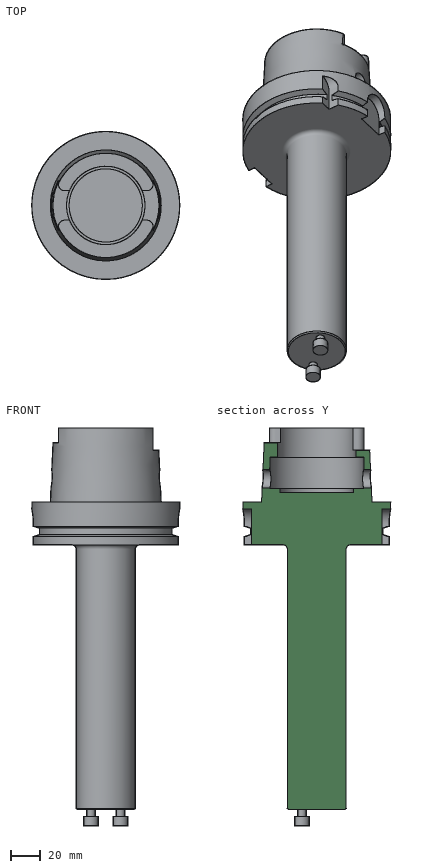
import cadquery as cq
import math

HALF_DIAGONAL = math.sqrt(0.5)


shank_height = 50.0
shank_base_radius = 37.5
shank_top_radius = 35.2

mouth_radius = 53.0 / 2
mouth_depth = 20.0
cavity_radius = 63.2 / 2
cavity_floor_z = 9.1
pilot_radius = 24.7
pilot_depth = 2.7

drive_slot_width = 20.0
drive_slot_shallow = 10.0
drive_slot_deep = 15.0
drive_slot_corner = 4.3
drive_lug_reach = 32.0

cross_hole_diameter = 12.0
cross_hole_z = 15.5

flange_radius = 100.0 / 2
flange_height = 29.0
groove_radius = 46.0
groove_center_z = -20.0
groove_floor_width = 4.3
groove_mouth_width = 7.0

key_slot_width = 20.2
rim_slot_top_z = -4.8
key_slot_floor = 44.0
notch_radius = 8.0
notch_center_y = 39.0
notch_floor = 31.7

bar_radius = 40.0 / 2
bar_neck_fillet = 3.0
bar_end_chamfer = 0.8

screw_offset = 10.0
screw_neck_diameter = 6.0
screw_neck_length = 4.5
screw_head_diameter = 10.0
screw_head_height = 6.5

total_length = 269
bar_end_z = shank_height - total_length + screw_neck_length + screw_head_height


def make_body():
    """Revolve the shank, grooved flange and bar as one profile."""
    mouth_half = groove_mouth_width / 2
    floor_half = groove_floor_width / 2
    fillet_z = -flange_height - bar_neck_fillet
    fillet_radius = bar_radius + bar_neck_fillet
    fillet_inset = bar_neck_fillet * (1 - HALF_DIAGONAL)
    return (
        cq.Workplane("XZ")
        .moveTo(0, shank_height)
        .lineTo(shank_top_radius, shank_height)
        .lineTo(shank_base_radius, 0)
        .lineTo(flange_radius, 0)
        .lineTo(flange_radius, groove_center_z + mouth_half)
        .lineTo(groove_radius, groove_center_z + floor_half)
        .lineTo(groove_radius, groove_center_z - floor_half)
        .lineTo(flange_radius, groove_center_z - mouth_half)
        .lineTo(flange_radius, -flange_height)
        .lineTo(fillet_radius, -flange_height)
        .threePointArc(
            (bar_radius + fillet_inset, -flange_height - fillet_inset),
            (bar_radius, fillet_z),
        )
        .lineTo(bar_radius, bar_end_z + bar_end_chamfer)
        .lineTo(bar_radius - bar_end_chamfer, bar_end_z)
        .lineTo(0, bar_end_z)
        .close()
        .revolve(360, (0, 0, 0), (0, 1, 0))
    )


def make_bore():
    """Clamping bore: narrow mouth, wide cavity and pilot recess."""
    mouth_end_z = shank_height - mouth_depth
    return (
        cq.Workplane("XZ")
        .moveTo(0, shank_height)
        .lineTo(mouth_radius, shank_height)
        .lineTo(mouth_radius, mouth_end_z)
        .lineTo(cavity_radius, mouth_end_z)
        .lineTo(cavity_radius, cavity_floor_z)
        .lineTo(pilot_radius, cavity_floor_z)
        .lineTo(pilot_radius, cavity_floor_z - pilot_depth)
        .lineTo(0, cavity_floor_z - pilot_depth)
        .close()
        .revolve(360, (0, 0, 0), (0, 1, 0))
    )


def make_drive_slot(side, depth):
    """Slot at +X (side = 1) or -X (side = -1) that flares around rounded lug corners."""
    half = drive_slot_width / 2
    corner = drive_slot_corner
    corner_mid = corner * HALF_DIAGONAL
    corner_x = drive_lug_reach - corner
    corner_y = half + corner
    outer = flange_radius
    slot = (
        cq.Workplane("XY")
        .workplane(offset=shank_height - depth)
        .moveTo(0, -half)
        .lineTo(corner_x, -half)
        .threePointArc(
            (corner_x + corner_mid, -corner_y + corner_mid),
            (drive_lug_reach, -corner_y),
        )
        .lineTo(drive_lug_reach, -outer)
        .lineTo(outer, -outer)
        .lineTo(outer, outer)
        .lineTo(drive_lug_reach, outer)
        .lineTo(drive_lug_reach, corner_y)
        .threePointArc(
            (corner_x + corner_mid, corner_y - corner_mid),
            (corner_x, half),
        )
        .lineTo(0, half)
        .close()
        .extrude(depth)
    )
    return slot if side > 0 else slot.mirror("YZ")


def make_rim_slot(side, center_y, radius, floor):
    """Round-topped slot open at the flange bottom, with a flat floor at x = side * floor."""
    arc_z = rim_slot_top_z - radius
    return (
        cq.Workplane("YZ")
        .workplane(offset=side * floor)
        .moveTo(center_y - radius, -flange_height)
        .lineTo(center_y - radius, arc_z)
        .threePointArc((center_y, rim_slot_top_z), (center_y + radius, arc_z))
        .lineTo(center_y + radius, -flange_height)
        .close()
        .extrude(side * flange_radius)
    )


def make_screw(x, y):
    """Thin neck below the bar with a wider head at its free end."""
    neck = (
        cq.Workplane("XY", origin=(x, y, bar_end_z))
        .circle(screw_neck_diameter / 2)
        .extrude(-screw_neck_length)
    )
    head = (
        cq.Workplane("XY", origin=(x, y, bar_end_z - screw_neck_length))
        .circle(screw_head_diameter / 2)
        .extrude(-screw_head_height)
    )
    return neck.union(head)


def make_cross_hole():
    """Hole along X through both walls of the shank."""
    return (
        cq.Workplane("YZ", origin=(0, 0, cross_hole_z))
        .circle(cross_hole_diameter / 2)
        .extrude(flange_radius, both=True)
    )


result = make_body().cut(make_bore()).cut(make_cross_hole())

result = result.cut(make_drive_slot(-1, drive_slot_shallow))
result = result.cut(make_drive_slot(1, drive_slot_deep))

result = result.cut(make_rim_slot(-1, notch_center_y, notch_radius, notch_floor))
for side in (-1, 1):
    result = result.cut(make_rim_slot(side, 0, key_slot_width / 2, key_slot_floor))

for side in (-1, 1):
    result = result.union(make_screw(side * screw_offset, -side * screw_offset))